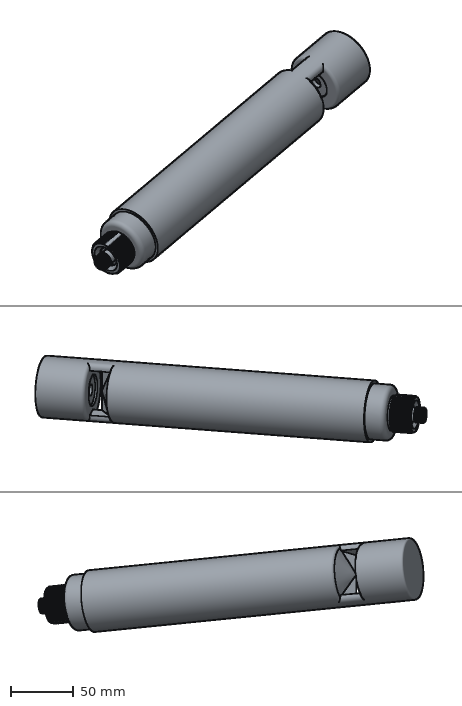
import cadquery as cq
import math

TOTAL_LENGTH = 319.3

BARREL_RADIUS = 25.07
BASE_RADIUS = 22.7
BASE_START = 27.0
BARREL_START = 43.7
BARREL_END = 260.0
BARREL_RIM_FILLET = 2.5
BASE_FILLET = 3.8
CONE_RADIUS = BARREL_RADIUS - BARREL_RIM_FILLET
CONE_TIP = 270.5
CAP_START = 277.8
CAP_TOP_FILLET = 1.5
CAP_BOTTOM_FILLET = 3.0

POST_HALF_WIDTH = 9.3
POST_SIDE_INNER_Z = 18.5
POST_RIDGE_Z = 16.0
POST_FILLET = 4.0

OPENING_RADIUS = 12.8
OPENING_DEPTH = 2.0
SOUND_HOLE_RADIUS = 4.8
SOUND_HOLE_DEPTH = 6.5

STEM_START = 8.0
STEM_RADIUS = 15.3
STEM_ROOT_RADIUS = 14.5
STEM_PITCH = 1.5
STEM_UNDERCUT = 1.5
STEM_CHAMFER = STEM_RADIUS - STEM_ROOT_RADIUS
STEM_FLAT_Z = 14.2
BORE_RADIUS = 8.3
COUNTERSINK_RADIUS = 11.5
COUNTERSINK_DEPTH = COUNTERSINK_RADIUS - BORE_RADIUS

DISC_START = 12.8
DISC_THICKNESS = 6.5
DISC_END = DISC_START + DISC_THICKNESS
PLUG_RADIUS = 6.5
PLUG_ROOT_RADIUS = 5.7
PLUG_PITCH = 1.0
PLUG_CHAMFER = PLUG_RADIUS - PLUG_ROOT_RADIUS
CUP_RADIUS = 5.0
CUP_DEPTH = 6.5
PIN_RADIUS = 0.5
PIN_LENGTH = 4.8
PIN_CIRCLE_RADIUS = 3.5
OUTER_PIN_COUNT = 4
FIRST_PIN_ANGLE = 45.0


def cylinder(radius, start, end, x=0.0, z=0.0):
    """Cylinder along Y from start to end."""
    axis_point = cq.Vector(x, start, z)
    return cq.Workplane(cq.Solid.makeCylinder(radius, end - start, axis_point, cq.Vector(0, 1, 0)))


def revolve_about_y(points):
    """Closed (radius, Y) outline turned about the Y axis."""
    return cq.Workplane("XY").polyline(points).close().revolve(360, (0, 0, 0), (0, 1, 0))


def threaded_rod(crest, root, pitch, thread_start, thread_end, rod_end):
    """Rod with ring-shaped thread ridges, and a plain root-size neck up to rod_end."""
    ridge_count = math.floor((thread_end - thread_start) / pitch)
    points = [(0, thread_start), (root, thread_start)]
    for i in range(ridge_count):
        ridge_start = thread_start + i * pitch
        points.append((crest, ridge_start + pitch / 2))
        points.append((root, ridge_start + pitch))
    points += [(root, rod_end), (0, rod_end)]
    return revolve_about_y(points)


def make_barrel():
    barrel = cylinder(BARREL_RADIUS, BARREL_START, BARREL_END).faces(">Y").edges().fillet(BARREL_RIM_FILLET)
    base = cylinder(BASE_RADIUS, BASE_START, BARREL_START).faces("<Y").edges().fillet(BASE_FILLET)
    cone = revolve_about_y([(0, BARREL_END), (CONE_RADIUS, BARREL_END), (0, CONE_TIP)])
    return barrel.union(base).union(cone)


def make_cap():
    cap = cylinder(BARREL_RADIUS, CAP_START, TOTAL_LENGTH)
    cap = cap.faces(">Y").edges().fillet(CAP_TOP_FILLET)
    cap = cap.faces("<Y").edges().fillet(CAP_BOTTOM_FILLET)
    opening = cylinder(OPENING_RADIUS, CAP_START, CAP_START + OPENING_DEPTH)
    sound_hole = cylinder(SOUND_HOLE_RADIUS, CAP_START, CAP_START + SOUND_HOLE_DEPTH)
    return cap.cut(opening).cut(sound_hole)


def make_post():
    """Upper post: round outside, rounded sides, and a ridge pointing at the tower axis."""
    start = BARREL_END - BARREL_RIM_FILLET
    end = CAP_START + CAP_BOTTOM_FILLET
    side_outer_z = math.sqrt(BARREL_RADIUS**2 - POST_HALF_WIDTH**2)
    outer_corners = cq.selectors.BoxSelector(
        (-BARREL_RADIUS, start, side_outer_z - POST_FILLET / 2),
        (BARREL_RADIUS, end, side_outer_z + POST_FILLET / 2),
    )
    return (
        cq.Workplane("XZ", origin=(0, end, 0))
        .moveTo(0, POST_RIDGE_Z)
        .lineTo(POST_HALF_WIDTH, POST_SIDE_INNER_Z)
        .lineTo(POST_HALF_WIDTH, side_outer_z)
        .threePointArc((0, BARREL_RADIUS), (-POST_HALF_WIDTH, side_outer_z))
        .lineTo(-POST_HALF_WIDTH, POST_SIDE_INNER_Z)
        .close()
        .extrude(end - start)
        .edges(outer_corners)
        .edges("|Y")
        .fillet(POST_FILLET)
    )


def make_ridge():
    """Ridge along Z that falls from the cone tip to the barrel at the sides of the posts."""
    return (
        cq.Workplane("XY")
        .polyline([(-POST_HALF_WIDTH, BARREL_END), (POST_HALF_WIDTH, BARREL_END), (0, CONE_TIP)])
        .close()
        .extrude(POST_SIDE_INNER_Z, both=True)
    )


def make_stem():
    thread_end = BASE_START - STEM_UNDERCUT
    stem = threaded_rod(STEM_RADIUS, STEM_ROOT_RADIUS, STEM_PITCH,
                        STEM_START + STEM_CHAMFER, thread_end, BASE_START)
    stem = stem.union(cylinder(STEM_ROOT_RADIUS, STEM_START, STEM_START + STEM_CHAMFER))
    between_flats = cq.Workplane("XY").box(2 * STEM_RADIUS, 2 * BASE_START, 2 * STEM_FLAT_Z)
    return stem.intersect(between_flats)


def make_housing():
    post = make_post()
    housing = make_barrel().union(make_cap()).union(make_ridge()).union(make_stem())
    housing = housing.union(post).union(post.mirror("XY"))
    countersink = revolve_about_y([
        (0, STEM_START),
        (COUNTERSINK_RADIUS, STEM_START),
        (BORE_RADIUS, STEM_START + COUNTERSINK_DEPTH),
        (0, STEM_START + COUNTERSINK_DEPTH),
    ])
    return housing.cut(countersink).cut(cylinder(BORE_RADIUS, STEM_START, DISC_END))


def make_connector():
    disc = cylinder(BORE_RADIUS, DISC_START, DISC_END)
    plug = threaded_rod(PLUG_RADIUS, PLUG_ROOT_RADIUS, PLUG_PITCH, PLUG_CHAMFER, STEM_START, DISC_START)
    tip = cylinder(PLUG_ROOT_RADIUS, 0, PLUG_CHAMFER)
    connector = disc.union(plug).union(tip).cut(cylinder(CUP_RADIUS, 0, CUP_DEPTH))

    pin_places = [(0.0, 0.0)]
    for i in range(OUTER_PIN_COUNT):
        angle = math.radians(FIRST_PIN_ANGLE + i * 360 / OUTER_PIN_COUNT)
        pin_places.append((PIN_CIRCLE_RADIUS * math.cos(angle), PIN_CIRCLE_RADIUS * math.sin(angle)))
    for x, z in pin_places:
        connector = connector.union(cylinder(PIN_RADIUS, CUP_DEPTH - PIN_LENGTH, DISC_START, x, z))
    return connector


housing = make_housing()
connector = make_connector()
result = cq.Compound.makeCompound([housing.solids().val(), connector.solids().val()])